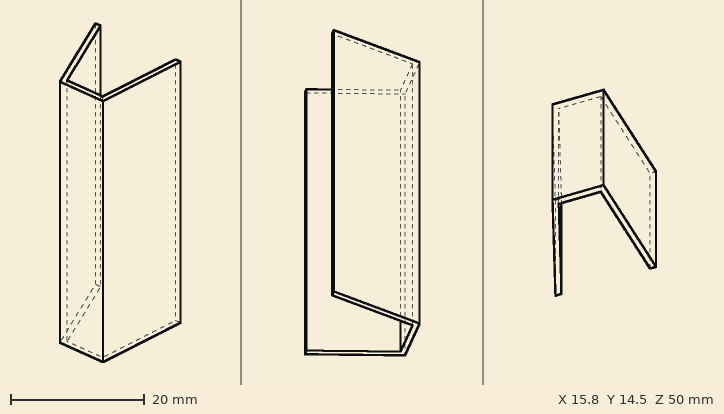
import cadquery as cq

length = 50.0
mouth_width = 15.75
floor_width = 8.0
depth = 14.5
floor_thickness = 0.9
wall_width_x = 0.95

wall_slope = (mouth_width - floor_width) / 2 / depth

mouth_y = depth / 2
floor_y = -depth / 2
inner_floor_y = floor_y + floor_thickness

outer_mouth_x = mouth_width / 2
outer_floor_x = floor_width / 2
inner_mouth_x = outer_mouth_x - wall_width_x
inner_floor_x = outer_floor_x + wall_slope * floor_thickness - wall_width_x

right_side = [
    (outer_floor_x, floor_y),
    (outer_mouth_x, mouth_y),
    (inner_mouth_x, mouth_y),
    (inner_floor_x, inner_floor_y),
]
left_side = [(-x, y) for x, y in reversed(right_side)]

result = cq.Workplane("XY").polyline(right_side + left_side).close().extrude(length)